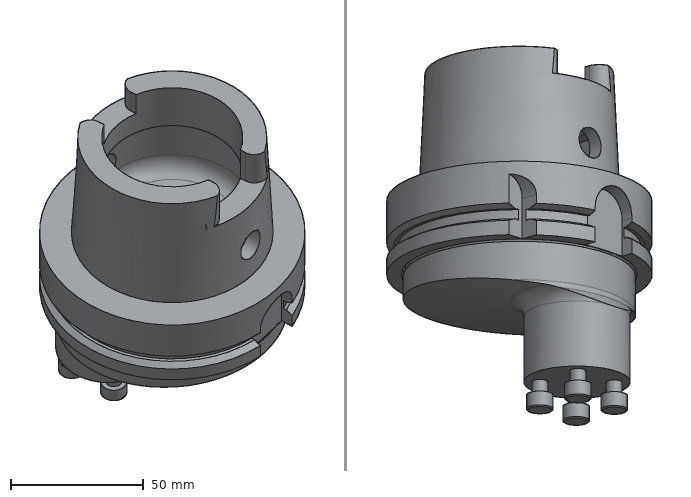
import cadquery as cq
import math


TAPER_LENGTH = 50.0
TAPER_BASE_RADIUS = 38.0
TAPER_TOP_RADIUS = 35.6

BORE_RADIUS = 26.53
BORE_DEPTH = 20.0
CHAMBER_RADIUS = 31.55
CHAMBER_WALL_END_Z = 9.5
CHAMBER_FLOOR_RADIUS = 25.0

KEY_WIDTH = 20.0
KEY_CORNER_RADIUS = 5.4
KEY_CORNER_REACH = 32.4
KEY_CORNER_END_ANGLE = 50.0
KEY_DEPTH_LEFT = 10.0
KEY_DEPTH_RIGHT = 15.0

CROSS_HOLE_DIAMETER = 12.0
CROSS_HOLE_Z = 15.0

FLANGE_RADIUS = 50.0
FLANGE_THICKNESS = 29.0
GROOVE_Z = -19.9
GROOVE_FLOOR_RADIUS = 46.0
GROOVE_FLOOR_WIDTH = 4.0
GROOVE_MOUTH_WIDTH = 6.8
GROOVE_LIP_RADIUS = 47.3

FLANGE_SLOT_TOP_Z = -5.0
DRIVE_SLOT_WIDTH = 20.0
DRIVE_SLOT_FLOOR_X = 44.0
NOTCH_WIDTH = 16.0
NOTCH_FLOOR_X = 31.5
NOTCH_WALL_Y = 31.5
NOTCH_Y = NOTCH_WALL_Y + NOTCH_WIDTH / 2

BODY_RADIUS = 43.75
BODY_FILLET = 0.7
SKIRT_ANGLE = 45.0
SKIRT_CORNER_Z = -46.4
SKIRT_FILLET = 3.7

NECK_RADIUS = 20.0
NECK_X = NECK_RADIUS - FLANGE_RADIUS
NECK_BOTTOM_Z = -78.0
NECK_FILLET = 6.0
NECK_FILLET_BOTTOM_Z = -52.3
UNDERSIDE_ANGLE = 10.0

SCREW_CIRCLE_DIAMETER = 28.0
SCREW_OFFSET = SCREW_CIRCLE_DIAMETER / 2 * math.cos(math.pi / 4)
SHANK_DIAMETER = 6.0
HEAD_DIAMETER = 10.0
HEAD_HEIGHT = 6.0
HEAD_CHAMFER = 0.5
HEAD_BOTTOM_Z = -89.22

FAR = 2 * FLANGE_RADIUS


def spin(profile, axis_x=0.0):
    """Revolve a closed XZ outline about the vertical axis at axis_x."""
    return profile.close().revolve(360, (axis_x, 0, 0), (axis_x, 1, 0))


def make_shank():
    return spin(
        cq.Workplane("XZ")
        .moveTo(0, 0)
        .lineTo(TAPER_BASE_RADIUS, 0)
        .lineTo(TAPER_TOP_RADIUS, TAPER_LENGTH)
        .lineTo(0, TAPER_LENGTH)
    )


def make_cavity():
    """Straight bore above a wider chamber with a round corner at its floor."""
    corner_radius = CHAMBER_RADIUS - CHAMBER_FLOOR_RADIUS
    floor_z = CHAMBER_WALL_END_Z - corner_radius
    chamber_height = TAPER_LENGTH - BORE_DEPTH - floor_z
    chamber = (
        cq.Workplane("XY", origin=(0, 0, floor_z))
        .circle(CHAMBER_RADIUS)
        .extrude(chamber_height)
        .faces("<Z")
        .edges()
        .fillet(corner_radius)
    )
    bore = (
        cq.Workplane("XY", origin=(0, 0, TAPER_LENGTH - BORE_DEPTH))
        .circle(BORE_RADIUS)
        .extrude(BORE_DEPTH)
    )
    return chamber.union(bore)


def make_key_slot(side, depth):
    """Rim slot whose mouth flares open with a round corner on either side."""
    half = KEY_WIDTH / 2
    center_x = KEY_CORNER_REACH - KEY_CORNER_RADIUS
    center_y = half + KEY_CORNER_RADIUS
    slot = (
        cq.Workplane("XY", origin=(0, 0, TAPER_LENGTH - depth))
        .center(side * FAR / 2, 0)
        .rect(FAR, KEY_WIDTH)
        .extrude(depth)
    )

    def corner_point(angle, distance=KEY_CORNER_RADIUS):
        x = center_x + distance * math.cos(math.radians(angle))
        y = center_y + distance * math.sin(math.radians(angle))
        return (side * x, y)

    flare = (
        cq.Workplane("XY", origin=(0, 0, TAPER_LENGTH - depth))
        .moveTo(*corner_point(-90))
        .threePointArc(corner_point(0), corner_point(KEY_CORNER_END_ANGLE))
        .lineTo(*corner_point(KEY_CORNER_END_ANGLE, FAR))
        .lineTo(side * FAR, half)
        .close()
        .extrude(depth)
    )
    return slot.union(flare).union(flare.mirror("XZ"))


def make_cross_hole():
    return (
        cq.Workplane("YZ", origin=(-FAR, 0, CROSS_HOLE_Z))
        .circle(CROSS_HOLE_DIAMETER / 2)
        .extrude(2 * FAR)
    )


def make_flange_slot(side, floor_x, center_y, width):
    """Round-topped slot cut inward along X from the flange rim to a flat floor."""
    radius = width / 2
    arc_z = FLANGE_SLOT_TOP_Z - radius
    return (
        cq.Workplane("YZ", origin=(side * floor_x, 0, 0))
        .moveTo(center_y - radius, -FLANGE_THICKNESS)
        .lineTo(center_y - radius, arc_z)
        .threePointArc((center_y, FLANGE_SLOT_TOP_Z), (center_y + radius, arc_z))
        .lineTo(center_y + radius, -FLANGE_THICKNESS)
        .close()
        .extrude(side * FLANGE_RADIUS)
    )


def make_lower_envelope():
    """Flange, body and the conical skirt that reaches out over the neck."""
    mouth_top = GROOVE_Z + GROOVE_MOUTH_WIDTH / 2
    mouth_bottom = GROOVE_Z - GROOVE_MOUTH_WIDTH / 2
    floor_top = GROOVE_Z + GROOVE_FLOOR_WIDTH / 2
    floor_bottom = GROOVE_Z - GROOVE_FLOOR_WIDTH / 2

    skirt_angle = math.radians(SKIRT_ANGLE)
    tangent = SKIRT_FILLET * math.tan(skirt_angle / 2)
    skirt_top = SKIRT_CORNER_Z + tangent
    skirt_center_r = BODY_RADIUS + SKIRT_FILLET
    skirt_mid = (
        skirt_center_r - SKIRT_FILLET * math.cos(skirt_angle / 2),
        skirt_top - SKIRT_FILLET * math.sin(skirt_angle / 2),
    )
    skirt_end = (
        BODY_RADIUS + tangent * math.sin(skirt_angle),
        SKIRT_CORNER_Z - tangent * math.cos(skirt_angle),
    )
    skirt_rim_z = SKIRT_CORNER_Z - (FLANGE_RADIUS - BODY_RADIUS) / math.tan(skirt_angle)

    root_z = -FLANGE_THICKNESS - BODY_FILLET
    root_shift = BODY_FILLET * (1 - math.cos(math.pi / 4))
    return spin(
        cq.Workplane("XZ")
        .moveTo(0, 0)
        .lineTo(FLANGE_RADIUS, 0)
        .lineTo(FLANGE_RADIUS, mouth_top)
        .lineTo(GROOVE_LIP_RADIUS, floor_top)
        .lineTo(GROOVE_FLOOR_RADIUS, floor_top)
        .lineTo(GROOVE_FLOOR_RADIUS, floor_bottom)
        .lineTo(GROOVE_LIP_RADIUS, floor_bottom)
        .lineTo(FLANGE_RADIUS, mouth_bottom)
        .lineTo(FLANGE_RADIUS, -FLANGE_THICKNESS)
        .lineTo(BODY_RADIUS + BODY_FILLET, -FLANGE_THICKNESS)
        .threePointArc(
            (BODY_RADIUS + root_shift, -FLANGE_THICKNESS - root_shift),
            (BODY_RADIUS, root_z),
        )
        .lineTo(BODY_RADIUS, skirt_top)
        .threePointArc(skirt_mid, skirt_end)
        .lineTo(FLANGE_RADIUS, skirt_rim_z)
        .lineTo(FLANGE_RADIUS, NECK_BOTTOM_Z)
        .lineTo(0, NECK_BOTTOM_Z)
    )


def make_neck_envelope():
    """Neck that flares through a fillet into a shallow cone, the body's sloping underside."""
    slope = math.radians(UNDERSIDE_ANGLE)
    center_r = NECK_RADIUS + NECK_FILLET
    half_sweep = (math.pi / 2 - slope) / 2
    arc_mid_r = center_r - NECK_FILLET * math.cos(half_sweep)
    arc_mid_z = NECK_FILLET_BOTTOM_Z + NECK_FILLET * math.sin(half_sweep)
    arc_end_r = center_r - NECK_FILLET * math.sin(slope)
    arc_end_z = NECK_FILLET_BOTTOM_Z + NECK_FILLET * math.cos(slope)
    outer_z = arc_end_z + (FAR - arc_end_r) * math.tan(slope)
    return spin(
        cq.Workplane("XZ")
        .moveTo(NECK_X, NECK_BOTTOM_Z)
        .lineTo(NECK_X + NECK_RADIUS, NECK_BOTTOM_Z)
        .lineTo(NECK_X + NECK_RADIUS, NECK_FILLET_BOTTOM_Z)
        .threePointArc((NECK_X + arc_mid_r, arc_mid_z), (NECK_X + arc_end_r, arc_end_z))
        .lineTo(NECK_X + FAR, outer_z)
        .lineTo(NECK_X + FAR, 0)
        .lineTo(NECK_X, 0),
        axis_x=NECK_X,
    )


def make_screw(x, y):
    head = (
        cq.Workplane("XY", origin=(x, y, HEAD_BOTTOM_Z))
        .circle(HEAD_DIAMETER / 2)
        .extrude(HEAD_HEIGHT)
        .faces("<Z")
        .chamfer(HEAD_CHAMFER)
    )
    shank = (
        cq.Workplane("XY", origin=(x, y, HEAD_BOTTOM_Z + HEAD_HEIGHT))
        .circle(SHANK_DIAMETER / 2)
        .extrude(NECK_BOTTOM_Z - HEAD_BOTTOM_Z - HEAD_HEIGHT)
    )
    return head.union(shank)


holder = make_lower_envelope().intersect(make_neck_envelope())
holder = holder.union(make_shank())
holder = holder.cut(make_cavity()).cut(make_cross_hole())
holder = holder.cut(make_key_slot(-1, KEY_DEPTH_LEFT))
holder = holder.cut(make_key_slot(1, KEY_DEPTH_RIGHT))

for side in (-1, 1):
    holder = holder.cut(make_flange_slot(side, DRIVE_SLOT_FLOOR_X, 0, DRIVE_SLOT_WIDTH))
holder = holder.cut(make_flange_slot(-1, NOTCH_FLOOR_X, NOTCH_Y, NOTCH_WIDTH))

for dx in (-SCREW_OFFSET, SCREW_OFFSET):
    for dy in (-SCREW_OFFSET, SCREW_OFFSET):
        holder = holder.union(make_screw(NECK_X + dx, dy))

result = holder